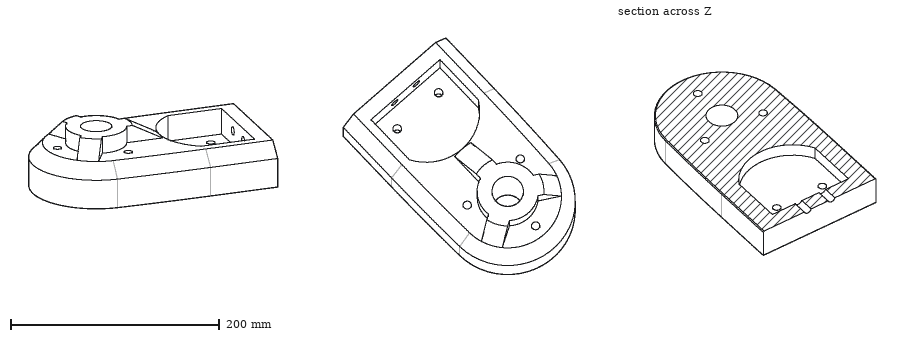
import cadquery as cq
import math

overall_length = 226.2
base_height = 43.7
wall_height = 29.5
bevel_inset = 13.3
nose_radius = 65.0
half_width = 66.7
back_y = overall_length - nose_radius
flare_start_x = 65.0
flare_start_y = -2.7
flare_end_y = 92.3

top_height = 60.6
hub_radius = 29.5
bore_diameter = 30.0
rib_width = 21.0
rib_top_radius = 34.8
back_rib_foot_radius = 65.0
front_rib_foot_radius = nose_radius - bevel_inset
back_rib_angle = 90
front_rib_angles = (210, 330)

pocket_half_width = 44.8
pocket_back_y = 145.7
pocket_corner_y = 91.0
pocket_front_y = 65.0
pocket_floor = 17.5

plate_hole_diameter = 8.0
plate_hole_radius = 39.8
plate_hole_angles = (30, 150, 270)
pocket_hole_diameter = 8.1
pocket_hole_x = 27.0
pocket_hole_y = 128.0
wall_hole_diameter = 8.0
wall_hole_x = 14.0
wall_hole_z = 31.5


def flare_midpoint():
    """Middle point of the side arc that is tangent to the straight side."""
    run = flare_end_y - flare_start_y
    inset = half_width - flare_start_x
    radius = (run**2 + inset**2) / (2 * inset)
    half_angle = math.asin(run / radius) / 2
    x = half_width - radius * (1 - math.cos(half_angle))
    y = flare_end_y - radius * math.sin(half_angle)
    return x, y


def make_base():
    mid_x, mid_y = flare_midpoint()
    outline = (
        cq.Workplane("XY")
        .moveTo(-half_width, back_y)
        .lineTo(-half_width, flare_end_y)
        .threePointArc((-mid_x, mid_y), (-flare_start_x, flare_start_y))
        .threePointArc((0, -nose_radius), (flare_start_x, flare_start_y))
        .threePointArc((mid_x, mid_y), (half_width, flare_end_y))
        .lineTo(half_width, back_y)
        .close()
    )
    block = outline.extrude(base_height)
    rim = block.faces(">Z").edges("not(>Y)")
    return rim.chamfer(base_height - wall_height, bevel_inset)


def make_rib(angle, foot_radius):
    """Radial rib whose sloping end is part of a cone about the bore axis."""
    cone = (
        cq.Workplane("XZ")
        .lineTo(foot_radius, 0)
        .lineTo(foot_radius, base_height)
        .lineTo(rib_top_radius, top_height)
        .lineTo(0, top_height)
        .close()
        .revolve(360, (0, 0), (0, 1))
    )
    bar = (
        cq.Workplane("XY", origin=(0, 0, base_height))
        .rect(foot_radius, rib_width)
        .extrude(top_height - base_height)
        .translate((foot_radius / 2, 0, 0))
        .rotate((0, 0, 0), (0, 0, 1), angle)
    )
    return bar.intersect(cone)


def make_pocket():
    return (
        cq.Workplane("XY", origin=(0, 0, pocket_floor))
        .moveTo(-pocket_half_width, pocket_back_y)
        .lineTo(-pocket_half_width, pocket_corner_y)
        .threePointArc((0, pocket_front_y), (pocket_half_width, pocket_corner_y))
        .lineTo(pocket_half_width, pocket_back_y)
        .close()
        .extrude(top_height - pocket_floor)
    )


def vertical_holes(points, diameter):
    return cq.Workplane("XY").pushPoints(points).circle(diameter / 2).extrude(top_height)


def wall_holes():
    """Two holes through the wall between the pocket and the flat back."""
    return (
        cq.Workplane("XZ", origin=(0, back_y, 0))
        .pushPoints([(-wall_hole_x, wall_hole_z), (wall_hole_x, wall_hole_z)])
        .circle(wall_hole_diameter / 2)
        .extrude(back_y - pocket_back_y)
    )


plate_hole_points = [
    (plate_hole_radius * math.cos(math.radians(a)), plate_hole_radius * math.sin(math.radians(a)))
    for a in plate_hole_angles
]
pocket_hole_points = [(-pocket_hole_x, pocket_hole_y), (pocket_hole_x, pocket_hole_y)]

result = make_base()
result = result.union(cq.Workplane("XY").circle(hub_radius).extrude(top_height))
result = result.union(make_rib(back_rib_angle, back_rib_foot_radius))
for rib_angle in front_rib_angles:
    result = result.union(make_rib(rib_angle, front_rib_foot_radius))

result = result.cut(make_pocket())
result = result.cut(vertical_holes([(0, 0)], bore_diameter))
result = result.cut(vertical_holes(plate_hole_points, plate_hole_diameter))
result = result.cut(vertical_holes(pocket_hole_points, pocket_hole_diameter))
result = result.cut(wall_holes())